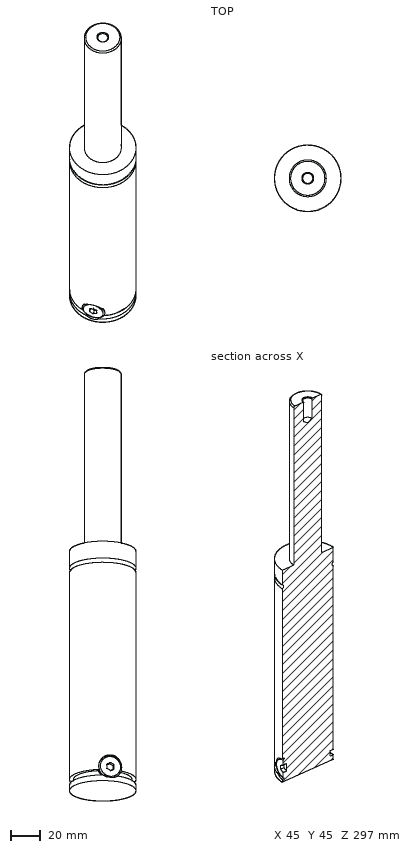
import cadquery as cq
import math

total_height = 297.0
body_height = 170.0
body_radius = 45.0 / 2
rod_radius = 25.0 / 2
rod_chamfer = 1.0

base_groove_bottom = 4.0
base_groove_top = 8.0
base_groove_depth = 2.7

collar_groove_bottom = 155.0
collar_groove_top = 158.0
collar_groove_depth = 1.0

rod_hole_radius = 6.8 / 2
rod_hole_depth = 16.0
rod_hole_mouth_radius = 8.0 / 2
drill_point_angle = math.radians(118.0)

port_height = 10.5
port_radius = 16.0 / 2
plug_face_radius = 14.0 / 2
plug_face_depth = 0.7
plug_base_depth = 6.0
socket_across_flats = 5.0
socket_depth = 3.0


def make_cylinder_and_rod():
    """Revolve the half section of the body and rod about Z."""
    groove_radius = body_radius - base_groove_depth
    collar_groove_middle = (collar_groove_bottom + collar_groove_top) / 2
    profile = (
        cq.Workplane("XZ")
        .lineTo(body_radius, 0)
        .lineTo(body_radius, base_groove_bottom)
        .lineTo(groove_radius, base_groove_bottom)
        .lineTo(groove_radius, base_groove_top)
        .lineTo(body_radius, base_groove_top)
        .lineTo(body_radius, collar_groove_bottom)
        .threePointArc(
            (body_radius - collar_groove_depth, collar_groove_middle),
            (body_radius, collar_groove_top),
        )
        .lineTo(body_radius, body_height)
        .lineTo(rod_radius, body_height)
        .lineTo(rod_radius, total_height - rod_chamfer)
        .lineTo(rod_radius - rod_chamfer, total_height)
        .lineTo(0, total_height)
        .close()
    )
    return profile.revolve(360, (0, 0), (0, 1))


def point_length(radius):
    """Length of the conical drill point of a hole with the given radius."""
    return radius / math.tan(drill_point_angle / 2)


def make_rod_hole():
    """Blind hole with a 45 degree mouth chamfer and a drill point."""
    mouth_depth = rod_hole_mouth_radius - rod_hole_radius
    hole_bottom = total_height - rod_hole_depth
    profile = (
        cq.Workplane("XZ")
        .moveTo(0, total_height)
        .lineTo(rod_hole_mouth_radius, total_height)
        .lineTo(rod_hole_radius, total_height - mouth_depth)
        .lineTo(rod_hole_radius, hole_bottom)
        .lineTo(0, hole_bottom - point_length(rod_hole_radius))
        .close()
    )
    return profile.revolve(360, (0, 0), (0, 1))


def port_plane(depth):
    """Workplane square to the port axis, at a depth below the body surface, facing -Y."""
    return cq.Workplane("XZ", origin=(0, depth - body_radius, port_height))


def make_plug():
    """Plug with a chamfered rim around its flat outer face and a hexagon socket in the middle."""
    plug = port_plane(plug_base_depth).circle(port_radius).extrude(plug_base_depth - plug_face_depth)
    plug = plug.faces("<Y").chamfer(port_radius - plug_face_radius)
    across_corners = socket_across_flats / math.cos(math.pi / 6)
    socket = (
        port_plane(plug_face_depth)
        .transformed(rotate=(0, 0, 90))
        .polygon(6, across_corners)
        .extrude(-socket_depth)
    )
    return plug.cut(socket)


def add_port(body):
    """Bore the port and seat the plug in it."""
    bore = port_plane(plug_base_depth).circle(port_radius).extrude(plug_base_depth)
    return body.cut(bore).union(make_plug())


result = add_port(make_cylinder_and_rod().cut(make_rod_hole()))